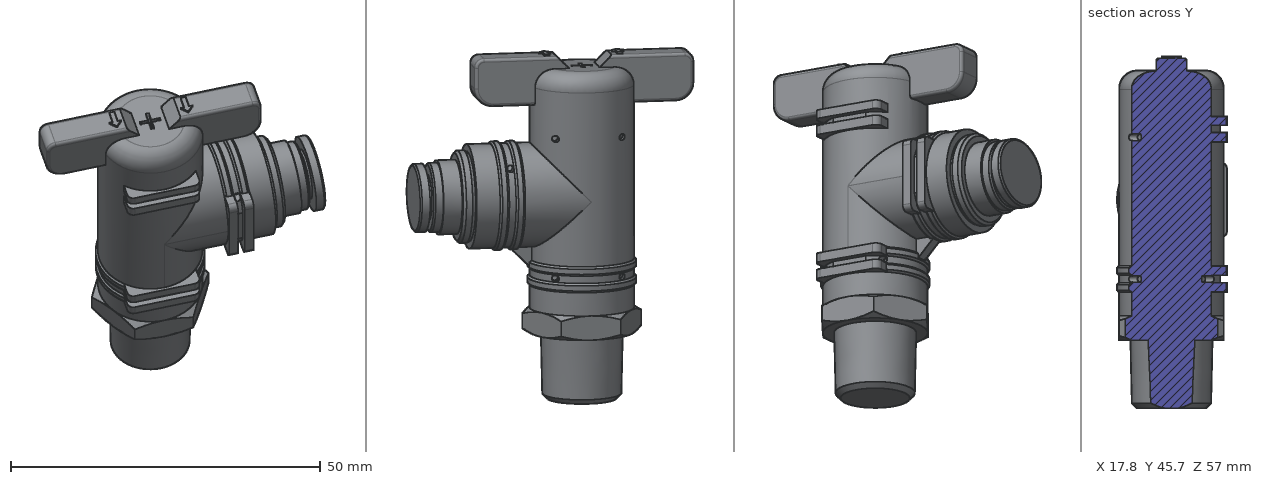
import cadquery as cq
import math

stub_height = 11.0
hex_height = 4.0
body_top = 54.7
branch_axis_z = 33.7

body_radius = 8.5
dome_radius = 3.0

stub_top_radius = 6.65
stub_bottom_radius = 6.45
stub_chamfer = 0.85

hex_flats = 2 * body_radius
hex_corner_radius = hex_flats / math.sqrt(3)
hex_slope = math.tan(math.radians(30))

ring_radius = 8.8
ring_width = 1.55
ring_chamfer = ring_radius - body_radius
lower_ring_starts = [18.8, 21.5]
branch_ring_starts = [10.75, 13.4]

tab_reach = 9.0
tab_half_length = 6.05
tab_corner = 1.0
upper_tab_starts = [43.05, 45.8]
upper_tab_widths = [1.6, 1.4]
tab_gap_flat_x = 7.9

branch_end = 18.75
flange_radius = 7.5
flange_start = 19.25
flange_end = 20.75
flange_chamfer = 0.45
undercut_radius = 7.3
sleeve_radius = 6.05
sleeve_end = 23.75
nose_radius = 5.65
nose_end = 25.3
nose_chamfer = 0.3
neck_radius = 3.75
neck_flare = 0.35
button_start = 26.1
button_end = 27.7
button_half_width = 6.6
button_half_height = 5.5
button_chamfer = 0.3

rib_thickness = 2.0
rib_leg = 3.5
rib_root = 1.15

handle_half_length = 18.0
handle_width = 4.95
handle_bottom = 48.75
handle_top = 56.65
handle_lower_corner = 3.0
handle_upper_corner = 1.5
handle_edge_round = 0.5
notch_half_width = 2.5

arrow_height = 56.95 - handle_top
arrow_length = 3.15
arrow_head_length = 1.1
arrow_head_width = 2.0
arrow_shaft_width = 0.85
arrow_offset = 6.0

cross_half_length = 1.7
cross_width = 0.5

pin_radius = 0.5
pin_offset = 5.45
pin_floor_radius = 7.4
upper_pin_z = 43.85


def revolve_about_z(points):
    """Solid of revolution about Z from (radius, height) points."""
    return cq.Workplane("XZ").polyline(points).close().revolve(360, (0, 0), (0, 1))


def to_branch(solid):
    """Turn a solid built about Z so that its axis is the branch axis along +Y."""
    return solid.rotate((0, 0, 0), (1, 0, 0), -90).translate((0, 0, branch_axis_z))


def ring(start):
    """Clip ring about Z with chamfered edges."""
    end = start + ring_width
    return revolve_about_z([
        (0, start),
        (body_radius, start),
        (ring_radius, start + ring_chamfer),
        (ring_radius, end - ring_chamfer),
        (body_radius, end),
        (0, end),
    ])


def tab(start, width):
    """Plate from the axis out to the +X side, with rounded outer corners."""
    plate = cq.Workplane("XY", origin=(tab_reach / 2, 0, start))
    plate = plate.rect(tab_reach, 2 * tab_half_length).extrude(width)
    return plate.edges("|Z and >X").fillet(tab_corner)


def tab_gap(lower_end, upper_start):
    """Material beyond the flat that lies between two tabs."""
    depth = body_radius - tab_gap_flat_x
    block = cq.Workplane("XY", origin=(body_radius, 0, lower_end))
    return block.rect(2 * depth, 2 * body_radius).extrude(upper_start - lower_end)


def tabbed_ring(start):
    """Clip ring about Z with its tab."""
    return ring(start).union(tab(start, ring_width))


def hexagon():
    """Hexagon with a corner on -Y and corners turned off top and bottom."""
    top = stub_height + hex_height
    prism = cq.Workplane("XY", origin=(0, 0, stub_height)).polygon(6, 2 * hex_corner_radius)
    prism = prism.extrude(hex_height).rotate((0, 0, 0), (0, 0, 1), 90)
    drop = (hex_corner_radius - body_radius) * hex_slope
    turned = revolve_about_z([
        (0, stub_height),
        (body_radius, stub_height),
        (hex_corner_radius, stub_height + drop),
        (hex_corner_radius, top - drop),
        (body_radius, top),
        (0, top),
    ])
    return prism.intersect(turned)


def stub():
    """Tapered threaded end with a chamfered tip."""
    return revolve_about_z([
        (0, 0),
        (stub_bottom_radius - stub_chamfer, 0),
        (stub_bottom_radius, stub_chamfer),
        (stub_top_radius, stub_height),
        (0, stub_height),
    ])


def body():
    """Vertical cylinder with a domed top."""
    cylinder = cq.Workplane("XY", origin=(0, 0, stub_height)).circle(body_radius)
    return cylinder.extrude(body_top - stub_height).faces(">Z").edges().fillet(dome_radius)


def branch():
    """Side branch: barrel, flange, sleeve and neck, turned about the branch axis."""
    return to_branch(revolve_about_z([
        (0, 0),
        (body_radius, 0),
        (body_radius, branch_end),
        (undercut_radius, branch_end),
        (flange_radius, flange_start),
        (flange_radius, flange_end - flange_chamfer),
        (flange_radius - flange_chamfer, flange_end),
        (sleeve_radius, flange_end),
        (sleeve_radius, sleeve_end),
        (nose_radius, sleeve_end),
        (nose_radius, nose_end - nose_chamfer),
        (nose_radius - nose_chamfer, nose_end),
        (neck_radius, nose_end),
        (neck_radius, button_start - neck_flare),
        (neck_radius + neck_flare, button_start),
        (0, button_start),
    ]))


def button():
    """Elliptical release button at the end of the branch."""
    plate = cq.Workplane("XY", origin=(0, 0, button_start)).ellipse(button_half_width, button_half_height)
    plate = plate.extrude(button_end - button_start).faces(">Z").edges().chamfer(button_chamfer)
    return to_branch(plate)


def rib():
    """45 degree rib between the branch and the body, its ends buried in both cylinders."""
    corner_y = body_radius - rib_root
    corner_z = branch_axis_z - body_radius + rib_root
    leg = rib_leg + 2 * rib_root
    outline = [
        (corner_y, corner_z),
        (corner_y, corner_z - leg),
        (corner_y + leg, corner_z),
    ]
    return cq.Workplane("YZ").polyline(outline).close().extrude(rib_thickness / 2, both=True)


def handle():
    """Bar across the cap with rounded edges and a V notch in the middle of its top."""
    height = handle_top - handle_bottom
    bar = cq.Workplane("XY").box(handle_width, 2 * handle_half_length, height)
    bar = bar.translate((0, 0, handle_bottom + height / 2))
    bar = bar.edges("|X and <Z").fillet(handle_lower_corner)
    bar = bar.edges("|X and >Z").fillet(handle_upper_corner)
    bar = bar.faces("<X or >X").edges().fillet(handle_edge_round)
    notch_top = notch_half_width + handle_top - body_top
    notch = (
        cq.Workplane("YZ")
        .polyline([
            (-notch_half_width, body_top),
            (notch_half_width, body_top),
            (notch_top, handle_top),
            (-notch_top, handle_top),
        ])
        .close()
        .extrude(handle_width, both=True)
    )
    return bar.cut(notch)


def arrow(y):
    """Raised arrow pointing to +X."""
    tip = arrow_length / 2
    neck = tip - arrow_head_length
    outline = [
        (-tip, -arrow_shaft_width / 2),
        (neck, -arrow_shaft_width / 2),
        (neck, -arrow_head_width / 2),
        (tip, 0),
        (neck, arrow_head_width / 2),
        (neck, arrow_shaft_width / 2),
        (-tip, arrow_shaft_width / 2),
    ]
    return cq.Workplane("XY", origin=(0, y, handle_top)).polyline(outline).close().extrude(arrow_height)


def cross_recess():
    """Cross whose arms slope down at 45 degrees to the middle."""
    wedge = [
        (-cross_half_length, body_top),
        (cross_half_length, body_top),
        (0, body_top - cross_half_length),
    ]
    arm = cq.Workplane("XZ").polyline(wedge).close().extrude(cross_width / 2, both=True)
    return arm.union(arm.rotate((0, 0, 0), (0, 0, 1), 90))


def pin_holes(places):
    """Holes along X through both sides at (Y, Z) places."""
    return cq.Workplane("YZ").pushPoints(places).circle(pin_radius).extrude(body_radius, both=True)


def pin_core(length):
    """Cylinder about Z on whose surface the pin holes end."""
    return cq.Workplane("XY").circle(pin_floor_radius).extrude(length)


def vertical_column():
    """Stub, hexagon and body with their rings, tabs, pin holes, handle and cap recess."""
    column = stub().union(hexagon()).union(body())
    for start in lower_ring_starts:
        column = column.union(tabbed_ring(start))
    column = column.cut(tab_gap(lower_ring_starts[0] + ring_width, lower_ring_starts[1]))
    column = column.cut(tab_gap(upper_tab_starts[0] + upper_tab_widths[0], upper_tab_starts[1]))

    lower_pin_z = (lower_ring_starts[0] + lower_ring_starts[1] + ring_width) / 2
    pin_places = [(side * pin_offset, z) for side in (-1, 1) for z in (lower_pin_z, upper_pin_z)]
    column = column.cut(pin_holes(pin_places).cut(pin_core(body_top)))

    for start, width in zip(upper_tab_starts, upper_tab_widths):
        column = column.union(tab(start, width))

    column = column.union(handle())
    for side in (-1, 1):
        column = column.union(arrow(side * arrow_offset))
    return column.cut(cross_recess())


def side_branch():
    """Branch with its button, rings, tabs and the pin holes in its upper half."""
    arm = branch().union(button())
    for start in branch_ring_starts:
        arm = arm.union(to_branch(tabbed_ring(start)))
    arm = arm.cut(to_branch(tab_gap(branch_ring_starts[0] + ring_width, branch_ring_starts[1])))

    pin_y = (branch_ring_starts[0] + branch_ring_starts[1] + ring_width) / 2
    holes = pin_holes([(pin_y, branch_axis_z + pin_offset)])
    return arm.cut(holes.cut(to_branch(pin_core(branch_end))))


result = vertical_column().union(side_branch()).union(rib(), clean=False)